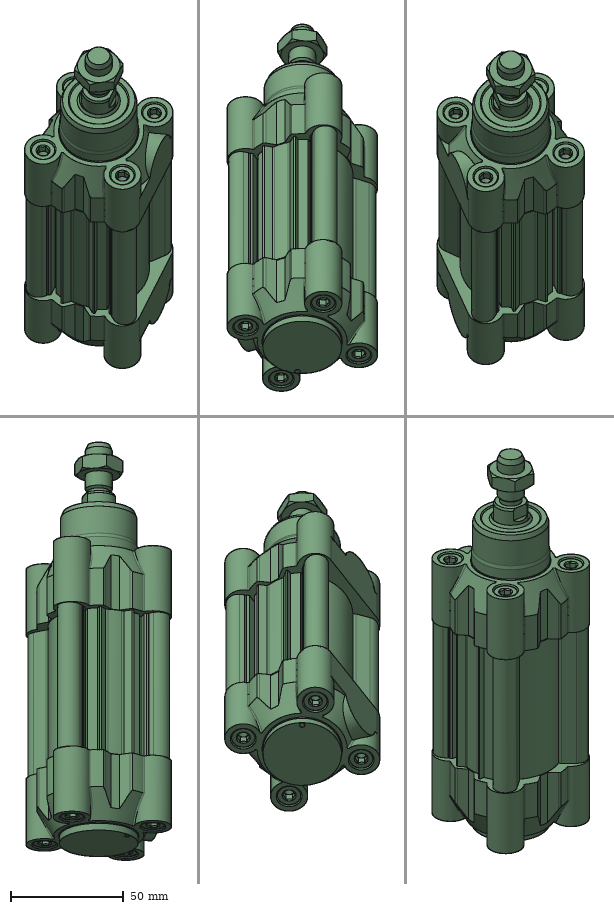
import cadquery as cq
import math

BUMP_HEIGHT = 0.2
REAR_COLLAR_HEIGHT = 3.5
CAP_HEIGHT = 30.8
BARREL_LENGTH = 68.2
TOP = 188.0

REAR_CAP_BOTTOM = BUMP_HEIGHT + REAR_COLLAR_HEIGHT
BARREL_BOTTOM = REAR_CAP_BOTTOM + CAP_HEIGHT
BARREL_TOP = BARREL_BOTTOM + BARREL_LENGTH

CAP_WIDTH = 54.5
PILLAR_SPACING = 38.0
CAP_BODY_RADIUS = 55.0 / 2
PILLAR_FILLET = 0.5
SHOULDER_START = 17.5
SHOULDER_TOP_RADIUS = 40.0 / 2

HALF_WIDTH = CAP_WIDTH / 2
PILLAR_OFFSET = PILLAR_SPACING / 2
PILLAR_RADIUS = HALF_WIDTH - PILLAR_OFFSET

NOTCH_FLOOR_HALF = 2.0
NOTCH_FLOOR_DISTANCE = 23.0
NOTCH_WALL_HALF = 5.8
NOTCH_WALL_DISTANCE = 26.1
NOTCH_MOUTH_HALF = 8.6
NOTCH_MOUTH_DISTANCE = 27.6
NOTCH_CLEARANCE = 3.8

PORT_BOSS_RADIUS = 12.2
PORT_BOSS_Y = 5.5

SCREW_RECESS_DIAMETER = 10.3
SCREW_RECESS_DEPTH = 0.8
SCREW_RECESS_CHAMFER = 0.5
SOCKET_ACROSS_FLATS = 4.9
SOCKET_MOUTH_DIAMETER = 6.2
SOCKET_DEPTH = 3.8
DRILL_TIP_ANGLE = 118.0

COLLAR_RADIUS = 35.0 / 2
COLLAR_FLARE = 0.4
COLLAR_STEP_HEIGHT = 5.3
COLLAR_STEP_TAPER = 1.7
BEARING_RADIUS = 34.0 / 2
BEARING_HEIGHT = 22.2
BEARING_CHAMFER_HEIGHT = 2.5
BEARING_CHAMFER_WIDTH = 1.0
WIPER_RADIUS = 26.0 / 2
WIPER_RECESS = 0.5
WIPER_LIP_FOOT = 9.5
WIPER_LIP_TOP = 8.6
WIPER_LIP_HEIGHT = 0.8

BUMP_DIAMETER = 2.5
BUMP_X = 8.6
BUMP_Y = -13.7

TUBE_RADIUS = 22.5
CORNER_RADIUS = 10.7 / 2
BARREL_HALF_WIDTH = 52.0 / 2
FLANK_ANGLE = 40.0
CORNER_OFFSET = BARREL_HALF_WIDTH - CORNER_RADIUS
FLANK_FOOT = 12.2
FLANK_RELIEF = 11.3
RIB_INNER = 3.2
RIB_FOOT = 4.3
RIB_FOOT_DISTANCE = 22.4
RIB_TIP_INNER = 7.1
RIB_OUTER = 8.0
RIB_TIP_DISTANCE = 24.8
PAD_INNER_DISTANCE = 22.4
PAD_OUTER_DISTANCE = 20.5
SLOT_STEP = 14.0
SLOT_OUTER = 15.6
SLOT_FLOOR = 17.7
SLOT_LEDGE = 22.7

ROD_RADIUS = 15.5 / 2
THREAD_RADIUS = 12.0 / 2
NECK_RADIUS = 10.0 / 2
SHOULDER_Z = 164.3
ROD_CHAMFER = 1.1
ROD_CHAMFER_WIDTH = 0.5
NECK_TOP = 166.4
THREAD_BOTTOM = 167.3
TIP_CHAMFER_HEIGHT = 2.5
FLAT_HALF_WIDTH = 6.5
FLAT_BOTTOM = 158.5
FLAT_RUNOUT = 1.9

NUT_ACROSS_FLATS = 19.0
NUT_BOTTOM = 174.0
NUT_HEIGHT = 6.8
NUT_CHAMFER_ANGLE = 30.0


def revolve(points):
    """Solid of revolution about Z from (radius, height) points."""
    return cq.Workplane("XZ").polyline(points).close().revolve(360, (0, 0, 0), (0, 1, 0))


def hexagon_prism(across_flats, height):
    """Upright hexagon prism with flats facing +X and -X."""
    prism = cq.Workplane("XY").polygon(6, across_flats / math.cos(math.radians(30))).extrude(height)
    return prism.rotate((0, 0, 0), (0, 0, 1), 30)


def pillar_centres():
    """Centres of the four corner pillars."""
    return [(sx * PILLAR_OFFSET, sy * PILLAR_OFFSET) for sx in (-1, 1) for sy in (-1, 1)]


def side_notch():
    """Flared notch on the -Y side, cut over the full height."""
    half = [
        (NOTCH_FLOOR_HALF, -NOTCH_FLOOR_DISTANCE),
        (NOTCH_WALL_HALF, -NOTCH_WALL_DISTANCE),
        (NOTCH_MOUTH_HALF, -NOTCH_MOUTH_DISTANCE),
        (NOTCH_MOUTH_HALF, -NOTCH_MOUTH_DISTANCE - NOTCH_CLEARANCE),
    ]
    mirrored = [(-x, y) for x, y in reversed(half)]
    return cq.Workplane("XY").polyline(half + mirrored).close().extrude(CAP_HEIGHT)


def screw_recess():
    """Chamfered recess with a hexagon socket and a drill point, going down from height zero."""
    recess = SCREW_RECESS_DIAMETER / 2
    mouth = SOCKET_MOUTH_DIAMETER / 2
    drill = SOCKET_ACROSS_FLATS / 2
    socket_bottom = SCREW_RECESS_DEPTH + SOCKET_DEPTH
    round_part = revolve([
        (0, 0),
        (recess + SCREW_RECESS_CHAMFER, 0),
        (recess, -SCREW_RECESS_CHAMFER),
        (recess, -SCREW_RECESS_DEPTH),
        (mouth, -SCREW_RECESS_DEPTH),
        (drill, -SCREW_RECESS_DEPTH - mouth + drill),
        (drill, -socket_bottom),
        (0, -socket_bottom - drill / math.tan(math.radians(DRILL_TIP_ANGLE / 2))),
    ])
    socket = hexagon_prism(SOCKET_ACROSS_FLATS, SOCKET_DEPTH).translate((0, 0, -socket_bottom))
    return round_part.union(socket)


def is_pillar_junction(edge):
    """True for an edge where a pillar meets the round body."""
    centre = edge.Center()
    inner_limit = PILLAR_OFFSET - PILLAR_RADIUS
    beside_pillar = min(abs(centre.x), abs(centre.y)) > inner_limit
    outer_limit = CAP_BODY_RADIUS + PILLAR_FILLET
    return beside_pillar and math.hypot(centre.x, centre.y) < outer_limit


def cap_block():
    """Cap standing on its barrel joint at height zero, outer face up."""
    body = revolve([
        (0, 0),
        (CAP_BODY_RADIUS, 0),
        (CAP_BODY_RADIUS, SHOULDER_START),
        (SHOULDER_TOP_RADIUS, CAP_HEIGHT),
        (0, CAP_HEIGHT),
    ])
    for turns in (0, 2, 3):
        body = body.cut(side_notch().rotate((0, 0, 0), (0, 0, 1), 90 * turns))

    port_plate = cq.Workplane("XY").box(HALF_WIDTH, PILLAR_SPACING, SHOULDER_START, (False, True, False))
    port_boss = (
        cq.Workplane("YZ").center(PORT_BOSS_Y, CAP_HEIGHT / 2).circle(PORT_BOSS_RADIUS).extrude(HALF_WIDTH)
    )
    envelope = cq.Workplane("XY").box(CAP_WIDTH, CAP_WIDTH, CAP_HEIGHT, (True, True, False))
    pillars = cq.Workplane("XY").pushPoints(pillar_centres()).circle(PILLAR_RADIUS).extrude(CAP_HEIGHT)
    block = body.union(pillars)
    junctions = block.edges("|Z or %BSPLINE").filter(is_pillar_junction)
    block = junctions.fillet(PILLAR_FILLET)
    block = block.union(port_plate).union(port_boss).intersect(envelope)
    for x, y in pillar_centres():
        block = block.cut(screw_recess().translate((x, y, CAP_HEIGHT)))
    return block


def make_front_cap():
    """Cap with the bearing collar, the wiper and a bore for the rod."""
    step_top = COLLAR_STEP_HEIGHT + COLLAR_STEP_TAPER
    wiper_top = BEARING_HEIGHT - WIPER_RECESS
    collar = revolve([
        (0, 0),
        (COLLAR_RADIUS + COLLAR_FLARE, 0),
        (COLLAR_RADIUS, COLLAR_FLARE),
        (COLLAR_RADIUS, COLLAR_STEP_HEIGHT),
        (BEARING_RADIUS, step_top),
        (BEARING_RADIUS, BEARING_HEIGHT - BEARING_CHAMFER_HEIGHT),
        (BEARING_RADIUS - BEARING_CHAMFER_WIDTH, BEARING_HEIGHT),
        (WIPER_RADIUS + WIPER_RECESS, BEARING_HEIGHT),
        (WIPER_RADIUS, wiper_top),
        (WIPER_LIP_FOOT, wiper_top),
        (WIPER_LIP_TOP, BEARING_HEIGHT + WIPER_LIP_HEIGHT),
        (ROD_RADIUS, wiper_top),
        (0, wiper_top),
    ]).translate((0, 0, CAP_HEIGHT))
    bore = cq.Workplane("XY").circle(ROD_RADIUS).extrude(TOP)
    return cap_block().union(collar).cut(bore).translate((0, 0, BARREL_TOP))


def make_rear_cap():
    """Mirrored cap with a short centring collar and a small bump underneath."""
    block = cap_block().mirror("XY").translate((0, 0, BARREL_BOTTOM))
    collar = revolve([
        (0, REAR_CAP_BOTTOM),
        (COLLAR_RADIUS + COLLAR_FLARE, REAR_CAP_BOTTOM),
        (COLLAR_RADIUS, REAR_CAP_BOTTOM - COLLAR_FLARE),
        (COLLAR_RADIUS, BUMP_HEIGHT),
        (0, BUMP_HEIGHT),
    ])
    bump = cq.Workplane("XY").center(BUMP_X, BUMP_Y).circle(BUMP_DIAMETER / 2).extrude(REAR_CAP_BOTTOM)
    return block.union(collar).union(bump)


def quadrant_bar(sx, sy, points):
    """Barrel-long bar on a closed outline, placed in the quadrant with the given signs."""
    outline = [(sx * x, sy * y) for x, y in points]
    return cq.Workplane("XY").polyline(outline).close().extrude(BARREL_LENGTH)


def corner_web(sx, sy):
    """Rounded corner whose straight flanks are tangent to the corner arc and run into the tube."""
    angle = math.radians(FLANK_ANGLE)
    near = CORNER_OFFSET - CORNER_RADIUS * math.sin(angle)
    far = CORNER_OFFSET + CORNER_RADIUS * math.cos(angle)
    foot = far - (near - FLANK_FOOT) * math.tan(angle)
    arc_middle = CORNER_OFFSET + CORNER_RADIUS / math.sqrt(2)
    return (
        cq.Workplane("XY")
        .moveTo(sx * FLANK_FOOT, 0)
        .lineTo(sx * FLANK_FOOT, sy * foot)
        .lineTo(sx * near, sy * far)
        .threePointArc((sx * arc_middle, sy * arc_middle), (sx * far, sy * near))
        .lineTo(sx * foot, sy * FLANK_FOOT)
        .lineTo(sx * math.sqrt(TUBE_RADIUS**2 - FLANK_RELIEF**2), sy * FLANK_RELIEF)
        .close()
        .extrude(BARREL_LENGTH)
    )


def rib_and_pad(sx, sy):
    """Lengthwise rib beside the middle of a slotted side, with a sloping pad outside it."""
    points = [
        (0, 0),
        (RIB_INNER, math.sqrt(TUBE_RADIUS**2 - RIB_INNER**2)),
        (RIB_FOOT, RIB_FOOT_DISTANCE),
        (RIB_TIP_INNER, RIB_TIP_DISTANCE),
        (RIB_OUTER, RIB_TIP_DISTANCE),
        (RIB_OUTER, PAD_INNER_DISTANCE),
        (FLANK_FOOT, PAD_OUTER_DISTANCE),
        (FLANK_FOOT, 0),
    ]
    return quadrant_bar(sx, sy, points)


def sensor_slot(sx, sy):
    """Stepped slot between the tube and a corner on a slotted side."""
    points = [
        (FLANK_FOOT, SLOT_FLOOR),
        (SLOT_STEP, SLOT_FLOOR),
        (SLOT_STEP, SLOT_LEDGE),
        (SLOT_OUTER, SLOT_LEDGE),
        (SLOT_OUTER, BARREL_HALF_WIDTH),
        (FLANK_FOOT, BARREL_HALF_WIDTH),
    ]
    return quadrant_bar(sx, sy, points)


def make_barrel():
    """Profile tube with ribs and slots on its two Y sides."""
    barrel = cq.Workplane("XY").circle(TUBE_RADIUS).extrude(BARREL_LENGTH)
    for sx in (-1, 1):
        for sy in (-1, 1):
            barrel = barrel.union(corner_web(sx, sy)).union(rib_and_pad(sx, sy))
            barrel = barrel.cut(sensor_slot(sx, sy))
    return barrel.translate((0, 0, BARREL_BOTTOM))


def flat_cutter(sx):
    """Material removed for one wrench flat, with a sloping run-out at its lower end."""
    outer = FLAT_HALF_WIDTH + FLAT_RUNOUT
    points = [
        (FLAT_HALF_WIDTH, FLAT_BOTTOM),
        (outer, FLAT_BOTTOM - FLAT_RUNOUT),
        (outer, SHOULDER_Z),
        (FLAT_HALF_WIDTH, SHOULDER_Z),
    ]
    return (
        cq.Workplane("XZ").polyline([(sx * x, z) for x, z in points]).close().extrude(ROD_RADIUS, both=True)
    )


def make_rod():
    """Rod with wrench flats, a neck and a threaded end with its thread left plain."""
    rod = revolve([
        (0, BARREL_TOP),
        (ROD_RADIUS, BARREL_TOP),
        (ROD_RADIUS, SHOULDER_Z - ROD_CHAMFER),
        (ROD_RADIUS - ROD_CHAMFER_WIDTH, SHOULDER_Z),
        (NECK_RADIUS, SHOULDER_Z),
        (NECK_RADIUS, NECK_TOP),
        (THREAD_RADIUS, THREAD_BOTTOM),
        (THREAD_RADIUS, TOP - TIP_CHAMFER_HEIGHT),
        (NECK_RADIUS, TOP),
        (0, TOP),
    ])
    return rod.cut(flat_cutter(-1)).cut(flat_cutter(1))


def make_nut():
    """Hexagon nut with its corners on the Y axis, chamfered on both faces."""
    half_flats = NUT_ACROSS_FLATS / 2
    corner_radius = half_flats / math.cos(math.radians(30))
    drop = (corner_radius - half_flats) * math.tan(math.radians(NUT_CHAMFER_ANGLE))
    chamfers = revolve([
        (0, 0),
        (half_flats, 0),
        (corner_radius, drop),
        (corner_radius, NUT_HEIGHT - drop),
        (half_flats, NUT_HEIGHT),
        (0, NUT_HEIGHT),
    ])
    bore = cq.Workplane("XY").circle(THREAD_RADIUS).extrude(NUT_HEIGHT)
    hexagon = hexagon_prism(NUT_ACROSS_FLATS, NUT_HEIGHT)
    return hexagon.intersect(chamfers).cut(bore).translate((0, 0, NUT_BOTTOM))


rear_cap = make_rear_cap()
barrel = make_barrel()
front_cap = make_front_cap()
rod = make_rod()
nut = make_nut()

result = cq.Compound.makeCompound([rear_cap.val(), barrel.val(), front_cap.val(), rod.val(), nut.val()])